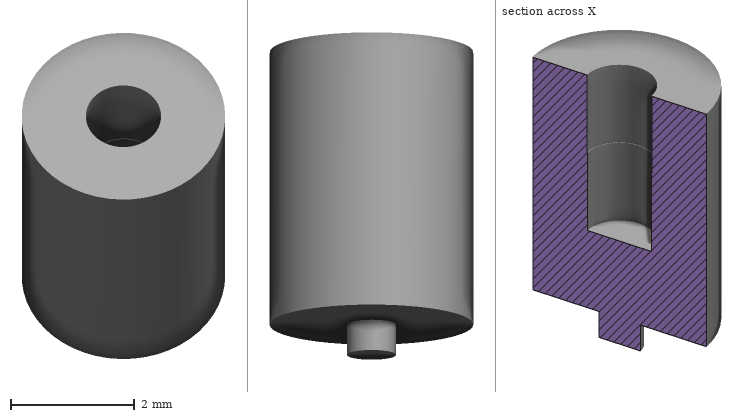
import cadquery as cq

total_height = 5.0
pin_length = 0.5
body_height = total_height - pin_length
body_diameter = 3.3
pin_diameter = 0.8

bore_diameter = 1.22
lower_bore_diameter = 1.2
bore_depth = 3.0
step_depth = bore_depth / 2

body = cq.Workplane("XY").circle(body_diameter / 2).extrude(body_height)

pin = cq.Workplane("XY").circle(pin_diameter / 2).extrude(-pin_length)


def bore_from_top(diameter, depth):
    """Cylinder reaching down from the top face of the body."""
    return cq.Workplane("XY").workplane(offset=body_height).circle(diameter / 2).extrude(-depth)


upper_bore = bore_from_top(bore_diameter, step_depth)
lower_bore = bore_from_top(lower_bore_diameter, bore_depth)

result = body.union(pin).cut(upper_bore).cut(lower_bore)